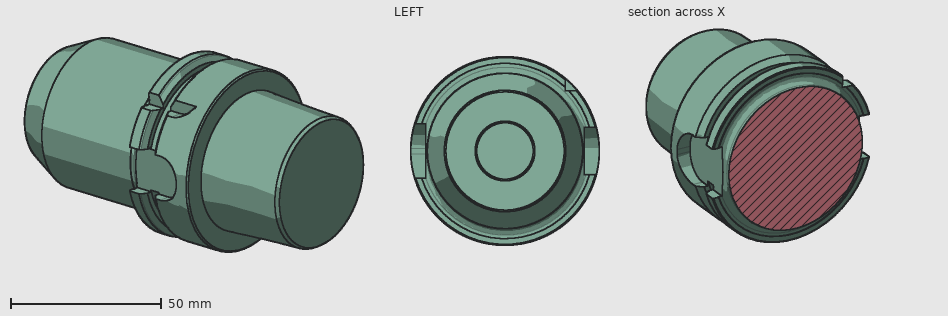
import cadquery as cq

length = 112.0

nose_radius = 20.3
nose_chamfer = 0.6
nose_cone_end = 12.7
body_radius = 26.0
body_end = 50.8
neck_radius = 25.9
neck_end = 52.2

flange_radius = 31.5
collar_start = 54.2
collar_face_step = 0.2
collar_step_radius = 29.2
rim_chamfer = 0.3
collar_fillet_radius = 28.0
collar_edge_start = 58.2
collar_edge_end = 58.7
collar_edge_radius = 31.1
groove_start = 60.1
groove_end = 63.5
groove_radius = 27.4
groove_rim_radius = 29.3
flange_edge_start = 65.4
flange_end = 80.0
flange_chamfer = 0.6

shank_root_radius = 24.3
shank_mid_radius = 23.4
shank_tip_radius = 22.8
shank_end_radius = 22.1
shank_tip = 110.7

bore_radius = 10.0
bore_chamfer = 0.6
bore_depth = 50.4

slot_end = 75.3
slot_floor = 26.4
cutter_width = 15.8
back_slot_width = 18.0
slot_corner_radius = 8.1
notch_offset = 20.0


def turned_body():
    """Revolve the outer profile, drawn as (X, radius), about X."""
    fillet_mid = (
        neck_end + 0.7 * (collar_start - neck_end),
        neck_radius + 0.3 * (collar_fillet_radius - neck_radius),
    )
    collar_face = collar_start - collar_face_step
    shank_middle = (flange_end + shank_tip) / 2
    return (
        cq.Workplane("XY")
        .moveTo(0, 0)
        .lineTo(0, nose_radius - nose_chamfer)
        .lineTo(nose_chamfer, nose_radius)
        .lineTo(nose_cone_end, body_radius)
        .lineTo(body_end, body_radius)
        .lineTo(body_end, neck_radius)
        .lineTo(neck_end, neck_radius)
        .threePointArc(fillet_mid, (collar_start, collar_fillet_radius))
        .lineTo(collar_start, collar_step_radius)
        .lineTo(collar_face, collar_step_radius)
        .lineTo(collar_face, flange_radius - rim_chamfer)
        .lineTo(collar_face + rim_chamfer, flange_radius)
        .lineTo(collar_edge_start, flange_radius)
        .lineTo(collar_edge_end, collar_edge_radius)
        .lineTo(groove_start, groove_rim_radius)
        .lineTo(groove_start, groove_radius)
        .lineTo(groove_end, groove_radius)
        .lineTo(groove_end, groove_rim_radius)
        .lineTo(flange_edge_start, flange_radius)
        .lineTo(flange_end - flange_chamfer, flange_radius)
        .lineTo(flange_end, flange_radius - flange_chamfer)
        .lineTo(flange_end, shank_root_radius)
        .threePointArc((shank_middle, shank_mid_radius), (shank_tip, shank_tip_radius))
        .lineTo(length, shank_end_radius)
        .lineTo(length, 0)
        .close()
        .revolve(360, (0, 0, 0), (1, 0, 0))
    )


def nose_bore():
    """Blind bore with a chamfer around its floor."""
    return cq.Workplane("YZ").circle(bore_radius).extrude(bore_depth).faces(">X").chamfer(bore_chamfer)


def round_slot(floor, center_z, width):
    """Full-round slot on the -Y side; its near end lies outside the slimmer body."""
    start = nose_cone_end
    return (
        cq.Workplane("XZ", origin=((start + slot_end) / 2, -floor, center_z))
        .slot2D(slot_end - start, width)
        .extrude(flange_radius - floor)
    )


def square_slot():
    """Wider slot on the +Y side with rounded far corners."""
    return (
        cq.Workplane("XY")
        .box(
            slot_end - neck_end,
            flange_radius - slot_floor,
            back_slot_width,
            centered=(False, False, True),
        )
        .edges("|Y and >X")
        .fillet(slot_corner_radius)
        .translate((neck_end, slot_floor, 0))
    )


drive_slot = round_slot(slot_floor, 0, cutter_width)
notch = round_slot(notch_offset, notch_offset + cutter_width / 2, cutter_width)

result = turned_body().cut(nose_bore()).cut(drive_slot).cut(square_slot()).cut(notch)